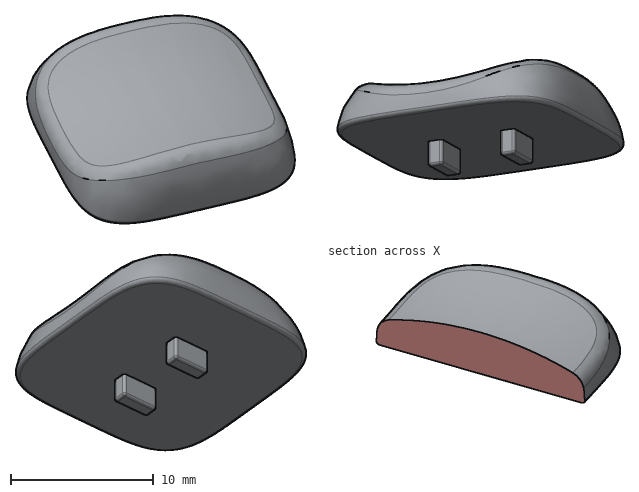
import cadquery as cq
import math


cap_length = 17.47
cap_width = 16.47
rim_height = 0.3
wall_curvature_radius = 5.5
base_squareness = 4.5
squareness_loss = 0.37
loft_height = 5.1
section_count = 6
points_per_section = 48

saddle_height = 3.52
dish_radius = 27.0
crown_radius = 23.0
top_edge_radius = 1.3
trim_margin = 1.0

leg_thickness = 1.15
leg_width = 2.95
leg_length = 1.78
leg_spacing = 5.7
leg_embedding = 0.3
leg_edge_radius = 0.2


def cap_section(height):
    """Closed superellipse outline of the cap wall at the given height."""
    inset = (height - rim_height) ** 2 / (2 * wall_curvature_radius)
    half_length = cap_length / 2 - inset
    half_width = cap_width / 2 - inset
    squareness = base_squareness - squareness_loss * height

    points = []
    for index in range(points_per_section):
        angle = 2 * math.pi * index / points_per_section
        cosine = math.cos(angle)
        sine = math.sin(angle)
        reach = (abs(cosine) ** squareness + abs(sine) ** squareness) ** (-1 / squareness)
        points.append(cq.Vector(half_length * reach * cosine, half_width * reach * sine, height))
    return cq.Wire.assembleEdges([cq.Edge.makeSpline(points, periodic=True)])


def make_walls():
    """Solid block with convex, inward-leaning walls."""
    heights = [loft_height * index / (section_count - 1) for index in range(section_count)]
    return cq.Workplane(cq.Solid.makeLoft([cap_section(height) for height in heights]))


def make_saddle_envelope():
    """Body of revolution about an X-parallel axis; its waist forms the saddle top."""
    half_span = cap_length / 2 + trim_margin
    dish_rise = dish_radius - math.sqrt(dish_radius ** 2 - half_span ** 2)
    axis_height = saddle_height - crown_radius
    end_height = saddle_height + dish_rise
    return (
        cq.Workplane("XZ")
        .moveTo(-half_span, axis_height)
        .lineTo(-half_span, end_height)
        .threePointArc((0, saddle_height), (half_span, end_height))
        .lineTo(half_span, axis_height)
        .close()
        .revolve(360, (-half_span, axis_height), (half_span, axis_height))
    )


def make_cap():
    """Walls trimmed by the saddle, with the top and bottom edges rounded."""
    cap = make_walls().intersect(make_saddle_envelope())
    cap = cap.faces("<Z").edges().fillet(rim_height)
    return cap.faces(">Z").edges().fillet(top_edge_radius)


def make_leg(x_center):
    """Mounting leg with rounded upright edges and a rounded tip."""
    return (
        cq.Workplane("XY", origin=(x_center, 0, -leg_length))
        .rect(leg_thickness, leg_width)
        .extrude(leg_length + leg_embedding)
        .edges("|Z or <Z")
        .fillet(leg_edge_radius)
    )


result = make_cap()
for side in (-1, 1):
    result = result.union(make_leg(side * leg_spacing / 2))